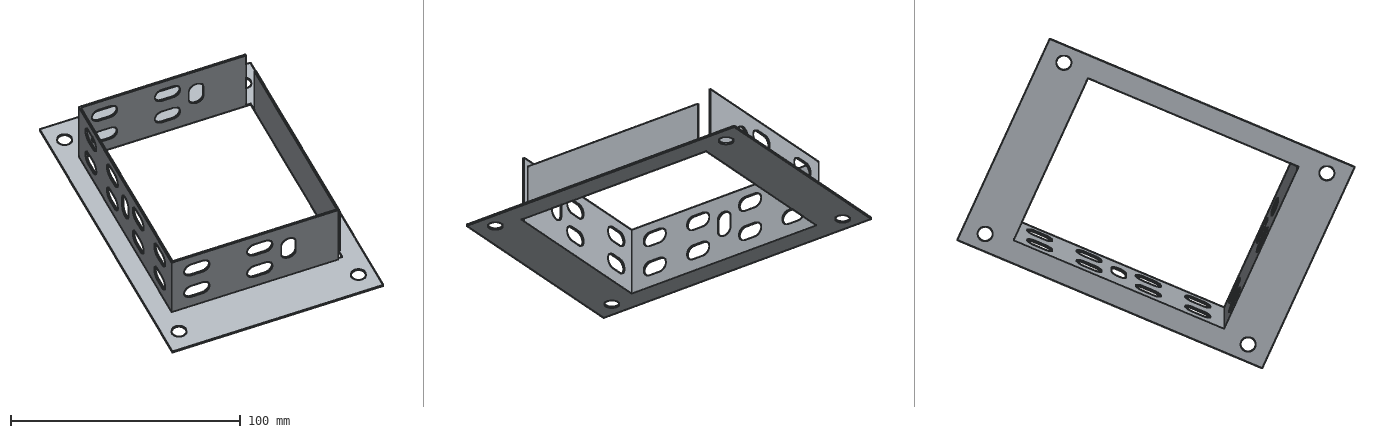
import cadquery as cq

sheet_thickness = 0.8

plate_length = 145.0
plate_width = 100.0
mount_hole_diameter = 6.5
mount_hole_spacing_x = 125.0
mount_hole_spacing_y = 85.1

opening_length = 100.0
opening_front_y = -40.2
opening_back_y = 40.3

total_height = 32.0
side_wall_back_y = 38.1

back_wall_length = 92.0
back_wall_top = 25.0

slot_length = 12.0
slot_width = 7.0
upright_slot_z = 18.0

front_slot_offsets = (14.0, 37.5)
front_slot_heights = (9.4, 24.0)

side_slot_positions = (-29.0, 0.9)
side_slot_heights = (10.0, 23.6)
side_upright_slot_y = 14.5

wall_outer_length = opening_length + 2 * sheet_thickness
wall_front_y = opening_front_y - sheet_thickness


def block(x_range, y_range, z_range):
    """Box spanning the given (low, high) limits along each axis."""
    low, high = zip(x_range, y_range, z_range)
    size = [b - a for a, b in zip(low, high)]
    return cq.Workplane("XY").box(*size, centered=False).translate(low)


def make_plate():
    """Flange plate with its opening and four mounting holes."""
    plate = cq.Workplane("XY").box(plate_length, plate_width, sheet_thickness, centered=(True, True, False))
    opening = block(
        (-opening_length / 2, opening_length / 2),
        (opening_front_y, opening_back_y),
        (0, sheet_thickness),
    )
    holes = (
        cq.Workplane("XY")
        .rect(mount_hole_spacing_x, mount_hole_spacing_y, forConstruction=True)
        .vertices()
        .circle(mount_hole_diameter / 2)
        .extrude(sheet_thickness)
    )
    return plate.cut(opening).cut(holes)


def make_front_and_side_walls():
    """U-shaped wall, open towards the back."""
    outer = block(
        (-wall_outer_length / 2, wall_outer_length / 2),
        (wall_front_y, side_wall_back_y),
        (0, total_height),
    )
    inner = block(
        (-opening_length / 2, opening_length / 2),
        (opening_front_y, side_wall_back_y),
        (0, total_height),
    )
    return outer.cut(inner)


def make_back_wall():
    """Low wall along the back edge of the opening."""
    return block(
        (-back_wall_length / 2, back_wall_length / 2),
        (opening_back_y, opening_back_y + sheet_thickness),
        (0, back_wall_top),
    )


def make_slots(plane, lying_points, upright_point, depth):
    """Cutters for lying slots and one upright slot, extruded along the plane normal."""
    lying = plane.pushPoints(lying_points).slot2D(slot_length, slot_width).extrude(depth)
    upright = plane.pushPoints([upright_point]).slot2D(slot_length, slot_width, 90).extrude(depth)
    return lying.union(upright)


def make_front_slots():
    """Slots through the front wall, mirrored about its middle."""
    plane = cq.Workplane("XZ", origin=(0, opening_front_y, 0))
    points = [
        (side * offset, z)
        for side in (-1, 1)
        for offset in front_slot_offsets
        for z in front_slot_heights
    ]
    return make_slots(plane, points, (0, upright_slot_z), sheet_thickness)


def make_side_slots():
    """Slots running through both side walls."""
    plane = cq.Workplane("YZ", origin=(-wall_outer_length / 2, 0, 0))
    points = [(y, z) for y in side_slot_positions for z in side_slot_heights]
    return make_slots(plane, points, (side_upright_slot_y, upright_slot_z), wall_outer_length)


slotted_walls = make_front_and_side_walls().cut(make_front_slots()).cut(make_side_slots())
result = make_plate().union(slotted_walls).union(make_back_wall())